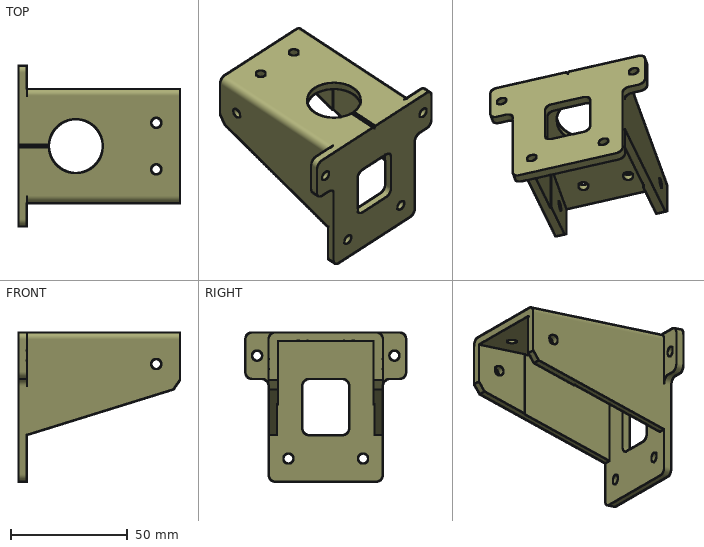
import cadquery as cq

length = 69.2
plate_width = 69.0
height = 64.0
channel_width = 49.0
thickness = 3.6
corner_radius = 3.0
hole_diameter = 4.2

ear_height = 20.0
ear_hole_spacing = 58.8
foot_hole_spacing = 32.0
plate_hole_margin = 9.95
window_width = 20.0
window_bottom = 20.0
window_top = height - ear_height

wall_root_z = 20.0
wall_tip_x = 66.35
wall_tip_z = 39.5
wall_end_z = 43.5
channel_hole_x = 59.0
top_hole_spacing = 19.9
side_hole_z = 50.45
wall_step_x = 46.0
wall_step = 0.5
bore_x = 24.6
bore_diameter = 23.0

groove_width = 1.25
groove_depth = 1.0


def mounting_plate():
    """T-shaped plate with rounded corners, four screw holes and a window."""
    ears = cq.Workplane("XY").box(thickness, plate_width, ear_height, centered=(False, True, False))
    ears = ears.translate((0, 0, height - ear_height))
    stem = cq.Workplane("XY").box(thickness, channel_width, height, centered=(False, True, False))
    plate = stem.union(ears).edges("|X").fillet(corner_radius)

    window_height = window_top - window_bottom
    window = (
        cq.Workplane("XY")
        .box(thickness, window_width, window_height, centered=(False, True, False))
        .edges("|X")
        .fillet(corner_radius)
        .translate((0, 0, window_bottom))
    )
    hole_points = []
    for side in (-1, 1):
        hole_points.append((side * ear_hole_spacing / 2, height - plate_hole_margin))
        hole_points.append((side * foot_hole_spacing / 2, plate_hole_margin))
    holes = cq.Workplane("YZ").pushPoints(hole_points).circle(hole_diameter / 2).extrude(thickness)
    return plate.cut(window).cut(holes)


def channel():
    """Top web and two tapered side walls, rounded along the outer top edges.

    Each wall steps inward slightly toward the free end.
    """
    body = (
        cq.Workplane("XZ")
        .moveTo(thickness, height)
        .lineTo(thickness, wall_root_z)
        .lineTo(wall_tip_x, wall_tip_z)
        .lineTo(length, wall_end_z)
        .lineTo(length, height)
        .close()
        .extrude(channel_width / 2, both=True)
        .edges("|X and >Z")
        .fillet(corner_radius)
    )
    inner_half_width = channel_width / 2 - thickness
    tip_half_width = inner_half_width - wall_step
    cavity = (
        cq.Workplane("XY")
        .moveTo(thickness, -inner_half_width)
        .lineTo(wall_step_x, -inner_half_width)
        .lineTo(wall_step_x, -tip_half_width)
        .lineTo(length, -tip_half_width)
        .lineTo(length, tip_half_width)
        .lineTo(wall_step_x, tip_half_width)
        .lineTo(wall_step_x, inner_half_width)
        .lineTo(thickness, inner_half_width)
        .close()
        .extrude(height - thickness)
    )
    return body.cut(cavity)


def channel_holes():
    """Large bore and two screw holes through the web, and one hole through both walls."""
    bore = cq.Workplane("XY").center(bore_x, 0).circle(bore_diameter / 2).extrude(height)
    top_holes = (
        cq.Workplane("XY")
        .pushPoints([(channel_hole_x, side * top_hole_spacing / 2) for side in (-1, 1)])
        .circle(hole_diameter / 2)
        .extrude(height)
    )
    side_holes = (
        cq.Workplane("XZ")
        .center(channel_hole_x, side_hole_z)
        .circle(hole_diameter / 2)
        .extrude(channel_width / 2, both=True)
    )
    return bore.union(top_holes).union(side_holes)


def top_groove():
    """V-groove from the plate face to the bore."""
    return (
        cq.Workplane("YZ")
        .moveTo(-groove_width / 2, height)
        .lineTo(0, height - groove_depth)
        .lineTo(groove_width / 2, height)
        .close()
        .extrude(bore_x)
    )


bracket = mounting_plate().union(channel())
result = bracket.cut(channel_holes()).cut(top_groove())